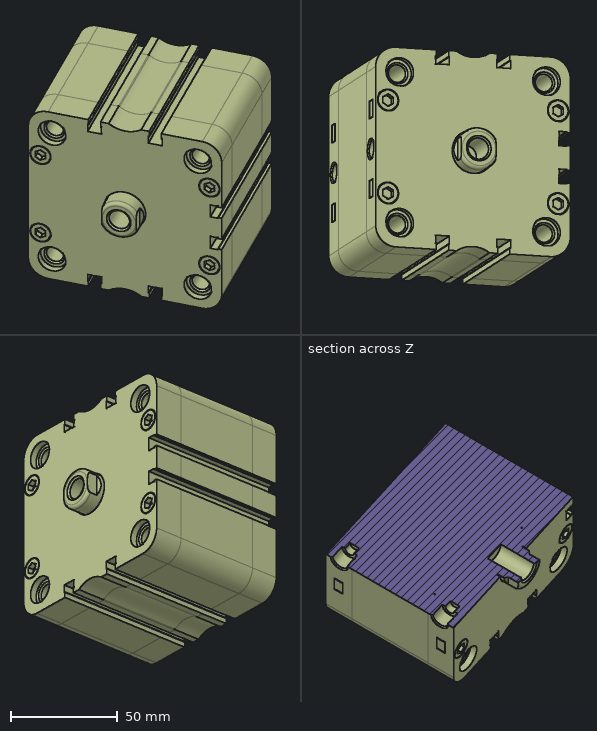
import cadquery as cq
import math


body_width = 95.5
body_length = 74.0
cap_length = 15.0
corner_radius = 9.7
half_width = body_width / 2
barrel_length = body_length - 2 * cap_length

groove_half_chord = 8.0
groove_depth = 2.5
groove_edge_radius = 1.0

slot_neck_width = 6.0
slot_head_width = 6.8
face_slot_offset = 15.0
face_slot_neck_depth = 3.0
face_slot_depth = 6.8
side_slot_offset = 9.0
side_slot_neck_depth = 1.8
side_slot_depth = 5.5

mount_offset = 36.0
mount_hole_diameter = 8.38
mount_chamfer_diameter = 10.11
mount_counterbore_diameter = 13.5
mount_counterbore_depth = 3.5

screw_offset_x = 41.7
screw_offset_z = 22.2
screw_hole_diameter = 10.3
screw_head_diameter = 9.8
screw_gap_depth = 2.0
hex_across_flats = 5.0
hex_depth = 3.0
hex_turn = 30.0

port_distance_from_end = 8.0
port_chamfer_diameter = 9.98
port_diameter = 8.57
port_depth = 8.0
port_passage_diameter = 5.0
port_passage_depth = 12.0

label_length = 8.2
label_offset = 19.0
label_distance_from_end = 7.4
label_recess_depth = 0.2
label_width = 4.8

rod_diameter = 20.0
rod_length = 9.0
rod_opening_diameter = 20.5
rod_gap_depth = 2.0
rod_end_round = 1.8
rod_flats_width = 17.0
rod_flats_length = 5.7
rod_hole_chamfer_diameter = 12.0
rod_hole_diameter = 10.11
rod_hole_depth = 20.0


def rod_axis_cylinder(x, z, diameter, start, length):
    """Cylinder along +Y whose first end lies at Y = start."""
    return cq.Workplane(cq.Solid.makeCylinder(
        diameter / 2, length, cq.Vector(x, start, z), cq.Vector(0, 1, 0)))


def chamfer_cone(point, direction, large_diameter, small_diameter):
    """45 degree countersink narrowing from the given point along the direction."""
    depth = (large_diameter - small_diameter) / 2
    return cq.Workplane(cq.Solid.makeCone(
        large_diameter / 2, small_diameter / 2, depth, cq.Vector(*point), cq.Vector(*direction)))


def box_between(x_range, y_range, z_range):
    """Axis-aligned box between pairs of limits."""
    ranges = (x_range, y_range, z_range)
    sizes = [high - low for low, high in ranges]
    corner = [low for low, high in ranges]
    return cq.Workplane("XY").box(*sizes, centered=False).translate(tuple(corner))


def body_section(start, length, edge_radius=0):
    """Rounded square prism with the top and bottom grooves; the groove edges may be rounded."""
    section = (
        cq.Workplane("XZ", origin=(0, start + length, 0))
        .rect(body_width, body_width)
        .extrude(length)
        .edges("|Y")
        .fillet(corner_radius)
    )
    groove_radius = (groove_half_chord**2 + groove_depth**2) / (2 * groove_depth)
    groove_axis_z = half_width - groove_depth + groove_radius
    for side in (-1, 1):
        section = section.cut(rod_axis_cylinder(0, side * groove_axis_z, 2 * groove_radius, start, length))
    if edge_radius:
        for side in (-1, 1):
            for x in (-groove_half_chord, groove_half_chord):
                edge_point = (x, start + length / 2, side * half_width)
                section = section.edges(cq.selectors.NearestToPointSelector(edge_point)).fillet(edge_radius)
    return section


def make_body():
    """Front cap, barrel and rear cap joined with their parting lines kept."""
    front_cap = body_section(0, cap_length)
    barrel = body_section(cap_length, barrel_length, groove_edge_radius)
    rear_cap = body_section(body_length - cap_length, cap_length)
    return front_cap.union(barrel, clean=False).union(rear_cap, clean=False)


def sensor_slot(offset, neck_depth, depth):
    """Slot through the whole length, opening on the top side at X = offset."""
    along = (0, body_length)
    top = half_width
    neck = box_between(
        (offset - slot_neck_width / 2, offset + slot_neck_width / 2), along, (top - depth, top))
    head = box_between(
        (offset - slot_head_width / 2, offset + slot_head_width / 2), along, (top - depth, top - neck_depth))
    return neck.union(head)


def cut_sensor_slots(body):
    """Two slots each in the top, bottom and +X sides."""
    for sign in (-1, 1):
        face_slot = sensor_slot(sign * face_slot_offset, face_slot_neck_depth, face_slot_depth)
        side_slot = sensor_slot(sign * side_slot_offset, side_slot_neck_depth, side_slot_depth)
        body = body.cut(face_slot, clean=False)
        body = body.cut(face_slot.mirror("XY"), clean=False)
        body = body.cut(side_slot.rotate((0, 0, 0), (0, 1, 0), 90), clean=False)
    return body


def mounting_hole(x, z):
    """Counterbored through hole with a chamfer at the counterbore floor."""
    hole = rod_axis_cylinder(x, z, mount_hole_diameter, 0, body_length)
    counterbore = rod_axis_cylinder(x, z, mount_counterbore_diameter, 0, mount_counterbore_depth)
    chamfer = chamfer_cone(
        (x, mount_counterbore_depth, z), (0, 1, 0), mount_chamfer_diameter, mount_hole_diameter)
    return hole.union(counterbore).union(chamfer)


def cap_screw(x, z):
    """Gap around a flush screw head together with its hexagon socket."""
    gap = rod_axis_cylinder(x, z, screw_hole_diameter, 0, screw_gap_depth).cut(
        rod_axis_cylinder(x, z, screw_head_diameter, 0, screw_gap_depth))
    hex_across_corners = hex_across_flats / math.cos(math.radians(30))
    socket = (
        cq.Workplane("XZ")
        .polygon(6, hex_across_corners)
        .extrude(-hex_depth)
        .rotate((0, 0, 0), (0, 1, 0), hex_turn)
        .translate((x, 0, z))
    )
    return gap.union(socket)


def air_port(y):
    """Chamfered port entering from the -X side, with a narrower passage behind it."""
    entry = cq.Vector(-half_width, y, 0)
    inward = cq.Vector(1, 0, 0)
    port = cq.Workplane(cq.Solid.makeCylinder(port_diameter / 2, port_depth, entry, inward))
    passage = cq.Workplane(
        cq.Solid.makeCylinder(port_passage_diameter / 2, port_passage_depth, entry, inward))
    chamfer = chamfer_cone(entry.toTuple(), inward.toTuple(), port_chamfer_diameter, port_diameter)
    return port.union(passage).union(chamfer)


def label_recess(y, z):
    """Shallow rectangular recess in the -X side."""
    return box_between(
        (-half_width, -half_width + label_recess_depth),
        (y - label_width / 2, y + label_width / 2),
        (z - label_length / 2, z + label_length / 2),
    )


def cut_holes(body):
    """Mounting holes, cap screws, ports and label recesses."""
    for x_sign in (-1, 1):
        for z_sign in (-1, 1):
            body = body.cut(mounting_hole(x_sign * mount_offset, z_sign * mount_offset), clean=False)
            body = body.cut(cap_screw(x_sign * screw_offset_x, z_sign * screw_offset_z), clean=False)
    for y in (port_distance_from_end, body_length - port_distance_from_end):
        body = body.cut(air_port(y), clean=False)
    for y in (label_distance_from_end, body_length - label_distance_from_end):
        for z in (-label_offset, label_offset):
            body = body.cut(label_recess(y, z), clean=False)
    return body


def make_rod():
    """Rod end with a rounded rim and two wrench flats that run out at 45 degrees."""
    rod = rod_axis_cylinder(0, 0, rod_diameter, -rod_length, rod_length + rod_gap_depth)
    rod = rod.faces("<Y").edges().fillet(rod_end_round)
    flat_x = rod_flats_width / 2
    flat_end_y = rod_flats_length - rod_length
    runout = rod_diameter / 2
    flat_cutter = (
        cq.Workplane("XY", origin=(0, 0, -rod_diameter / 2))
        .moveTo(flat_x, -rod_length)
        .lineTo(flat_x, flat_end_y)
        .lineTo(flat_x + runout, flat_end_y + runout)
        .lineTo(flat_x + runout, -rod_length)
        .close()
        .extrude(rod_diameter)
    )
    return rod.cut(flat_cutter).cut(flat_cutter.mirror("YZ"))


def add_rod(body):
    """Rod standing in its opening in the front cap, with a chamfered blind hole in its end."""
    body = body.cut(rod_axis_cylinder(0, 0, rod_opening_diameter, 0, rod_gap_depth), clean=False)
    body = body.union(make_rod(), clean=False)
    bore = rod_axis_cylinder(0, 0, rod_hole_diameter, -rod_length, rod_hole_depth)
    chamfer = chamfer_cone((0, -rod_length, 0), (0, 1, 0), rod_hole_chamfer_diameter, rod_hole_diameter)
    return body.cut(bore, clean=False).cut(chamfer, clean=False)


result = add_rod(cut_holes(cut_sensor_slots(make_body())))